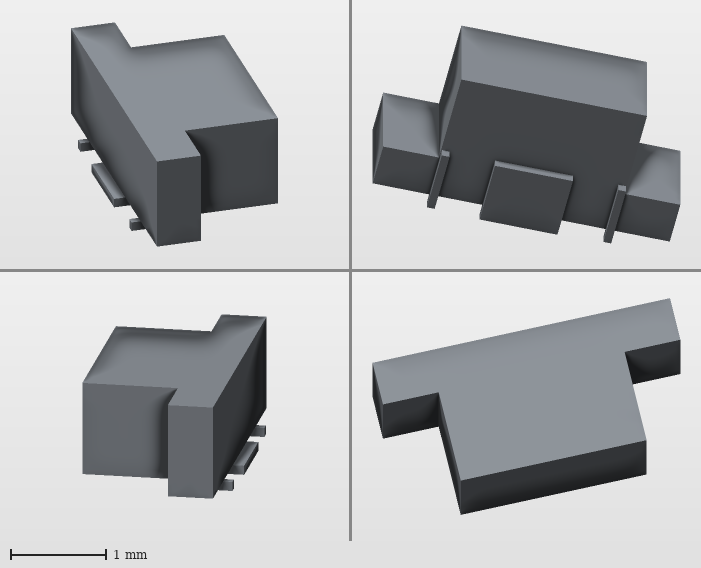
import cadquery as cq

flange_width = 3.2
flange_depth = 0.48
body_height = 1.0

block_width = 2.0
block_depth = 1.018

terminal_thickness = 0.1
terminal_rear = 0.58

pad_width = 0.84
pad_overhang = 0.12
pin_width = 0.083
pin_overhang = 0.1
pin_spacing = 1.9


def make_box(width, front, rear, bottom, height, center_x=0.0):
    """Return a box centred across X that spans front to rear in Y."""
    return (
        cq.Workplane("XY")
        .box(width, rear - front, height, centered=(True, False, False))
        .translate((center_x, front, bottom))
    )


def make_flange():
    return make_box(flange_width, 0.0, flange_depth, 0.0, body_height)


def make_block():
    return make_box(block_width, flange_depth, flange_depth + block_depth, 0.0, body_height)


def make_terminal(width, overhang, center_x):
    """Return a flat terminal that touches the underside and projects past the flange front."""
    return make_box(width, -overhang, terminal_rear, -terminal_thickness, terminal_thickness, center_x)


flange = make_flange()
block = make_block()
pad = make_terminal(pad_width, pad_overhang, 0.0)
pins = [make_terminal(pin_width, pin_overhang, side * pin_spacing / 2) for side in (-1, 1)]

result = cq.Compound.makeCompound(
    [flange.val(), block.val(), pad.val(), *[pin.val() for pin in pins]]
)